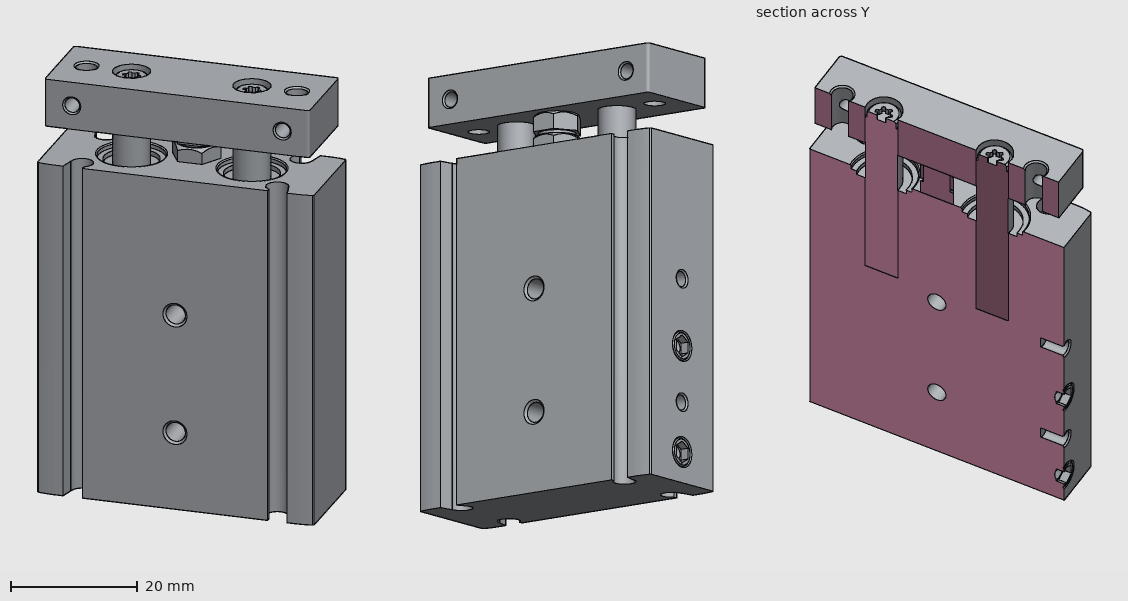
import cadquery as cq
import math

TOTAL_HEIGHT = 70.0

HOUSING_WIDTH = 46.0
HOUSING_DEPTH = 17.0
HOUSING_HEIGHT = 56.0
CROWN_START = 20.1
CROWN_DROP = 0.3
CORNER_CHAMFER = 0.2

SLOT_X = 16.25
SLOT_DIAMETER = 3.65
SLOT_CENTRE_Y = 6.15
MOUTH_INNER_X = 15.4
MOUTH_OUTER_X = 18.6
MOUTH_ROOT_X = 18.1

MOUNT_HOLE_HEIGHTS = (13.0, 33.0)
FRONT_HOLE_DIAMETER = 3.2
FRONT_HOLE_MOUTH = 4.0
SIDE_HOLE_DIAMETER = 2.45
SIDE_HOLE_MOUTH = 3.0
SIDE_HOLE_DEPTH = 4.2

PORT_HEIGHTS = (5.0, 22.1)
PORT_MOUTH = 5.0
PLUG_FACE_DIAMETER = 4.1
SOCKET_FLATS = 3.0
SOCKET_DEPTH = 1.4
SOCKET_DRILL_DIAMETER = 2.45
DRILL_TIP_ANGLE = 118.0

ROD_PITCH = 20.0
ROD_DIAMETER = 6.0
ROD_INSERTION = 21.0
ROD_TOP_RECESS = 0.7
ROD_HEAD_DIAMETER = 5.5
ROD_HEAD_HEIGHT = 1.4
ROD_TOP_CHAMFER = 0.35
GLAND_DIAMETER = 11.0
GLAND_CHAMFER = 0.2
GLAND_DEPTH = 0.85
SEAL_DIAMETER = 9.0
SEAL_DEPTH = 1.6

DRIVER_CORE_DIAMETER = 2.1
DRIVER_TIP_DIAMETER = 3.0
DRIVER_LOBE_DIAMETER = 0.6
DRIVER_DEPTH = 1.0
LOBES = 6

PLATE_WIDTH = 44.0
PLATE_DEPTH = 15.0
PLATE_THICKNESS = 8.0
PLATE_EDGE_RADIUS = 0.5
PLATE_HOLE_X = 17.5
PLATE_TOP_HOLE_DIAMETER = 3.4
PLATE_TOP_HOLE_MOUTH = 4.0
PLATE_FRONT_HOLE_DIAMETER = 2.45
PLATE_FRONT_HOLE_MOUTH = 3.0

STOPPER_Y = 2.5
STOPPER_SHANK_DIAMETER = 6.0
HEX_FLATS = 7.0
HEX_TOP_DIAMETER = 6.5
HEX_CHAMFER_ANGLE = 40.0
NUT_HEIGHT = 3.0
BOLT_HEAD_HEIGHT = 2.5

PLATE_BOTTOM = TOTAL_HEIGHT - PLATE_THICKNESS
PLATE_MIDDLE = TOTAL_HEIGHT - PLATE_THICKNESS / 2
ROD_XS = (-ROD_PITCH / 2, ROD_PITCH / 2)
HEX_CORNERS = HEX_FLATS / math.cos(math.radians(30))


def cone_height(large_diameter, small_diameter):
    """Height of a 45 degree cone between two diameters."""
    return (large_diameter - small_diameter) / 2


def hole(start, direction, diameter, depth, mouth):
    """Cutter for a flat-ended hole whose mouth is chamfered at 45 degrees."""
    start = cq.Vector(*start)
    direction = cq.Vector(*direction)
    bore = cq.Solid.makeCylinder(diameter / 2, depth, start, direction)
    chamfer = cq.Solid.makeCone(mouth / 2, diameter / 2, cone_height(mouth, diameter), start, direction)
    return cq.Workplane(bore.fuse(chamfer))


def through_hole_y(x, z, body_depth, diameter, mouth):
    """Cutter along Y through a body centred on Y = 0, chamfered at both ends."""
    front = hole((x, -body_depth / 2, z), (0, 1, 0), diameter, body_depth, mouth)
    back = hole((x, body_depth / 2, z), (0, -1, 0), diameter, body_depth, mouth)
    return front.union(back)


def housing_blank():
    half_width = HOUSING_WIDTH / 2
    half_depth = HOUSING_DEPTH / 2
    crown_end = half_depth - CROWN_DROP
    quarter = (
        cq.Workplane("XY")
        .lineTo(half_width, 0)
        .lineTo(half_width, crown_end - CORNER_CHAMFER)
        .lineTo(half_width - CORNER_CHAMFER, crown_end)
        .threePointArc(
            ((half_width - CORNER_CHAMFER + CROWN_START) / 2, half_depth - CROWN_DROP / 4),
            (CROWN_START, half_depth),
        )
        .lineTo(0, half_depth)
        .close()
        .extrude(HOUSING_HEIGHT)
    )
    half = quarter.union(quarter.mirror("YZ"))
    return half.union(half.mirror("XZ")).clean()


def sensor_slot():
    """Cutter for the slot in the +X, +Y quarter."""
    half_depth = HOUSING_DEPTH / 2
    channel = cq.Workplane("XY").center(SLOT_X, SLOT_CENTRE_Y).circle(SLOT_DIAMETER / 2)
    mouth = (
        cq.Workplane("XY")
        .moveTo(MOUTH_INNER_X, SLOT_CENTRE_Y)
        .lineTo(MOUTH_ROOT_X, SLOT_CENTRE_Y)
        .lineTo(MOUTH_OUTER_X, half_depth)
        .lineTo(MOUTH_INNER_X, half_depth)
        .close()
    )
    return channel.extrude(HOUSING_HEIGHT).union(mouth.extrude(HOUSING_HEIGHT))


def port_groove(z):
    """Cutter for the V groove around a plug face: a 45 degree ring on the -X side."""
    groove_depth = (PORT_MOUTH - PLUG_FACE_DIAMETER) / 4
    middle_radius = (PORT_MOUTH + PLUG_FACE_DIAMETER) / 4
    side = -HOUSING_WIDTH / 2
    section = (
        cq.Workplane("XY", origin=(side, 0, z))
        .moveTo(0, PLUG_FACE_DIAMETER / 2)
        .lineTo(groove_depth, middle_radius)
        .lineTo(0, PORT_MOUTH / 2)
        .close()
    )
    return section.revolve(360, (0, 0, 0), (1, 0, 0))


def port_socket(z):
    """Cutter for the hexagon socket in a plug face, with corners along Z and a drilled tip."""
    drill_radius = SOCKET_DRILL_DIAMETER / 2
    tip_length = drill_radius / math.tan(math.radians(DRILL_TIP_ANGLE / 2))
    side = -HOUSING_WIDTH / 2
    tip_start = cq.Vector(side + SOCKET_DEPTH, 0, z)
    tip = cq.Solid.makeCone(drill_radius, 0, tip_length, tip_start, cq.Vector(1, 0, 0))
    socket = (
        cq.Workplane("YZ", origin=(side, 0, z))
        .transformed(rotate=(0, 0, 90))
        .polygon(6, SOCKET_FLATS / math.cos(math.radians(30)))
        .extrude(SOCKET_DEPTH)
    )
    return socket.union(cq.Workplane(tip))


def rod_recess(x):
    """Cutter for the stepped gland around a rod and the bore that the rod fills."""
    top = cq.Workplane("XY", origin=(x, 0, HOUSING_HEIGHT))
    gland_radius = GLAND_DIAMETER / 2
    gland = (
        cq.Workplane("XZ", origin=(x, 0, HOUSING_HEIGHT))
        .lineTo(gland_radius + GLAND_CHAMFER, 0)
        .lineTo(gland_radius, -GLAND_CHAMFER)
        .lineTo(gland_radius, -GLAND_DEPTH)
        .lineTo(0, -GLAND_DEPTH)
        .close()
        .revolve(360, (0, 0, 0), (0, 1, 0))
    )
    seal = top.circle(SEAL_DIAMETER / 2).extrude(-SEAL_DEPTH)
    bore = top.circle(ROD_DIAMETER / 2).extrude(-ROD_INSERTION)
    return gland.union(seal).union(bore)


def make_housing():
    body = housing_blank()
    right_back = sensor_slot()
    right_front = right_back.mirror("XZ")
    for slot in (right_back, right_front):
        body = body.cut(slot).cut(slot.mirror("YZ"))
    for z in MOUNT_HOLE_HEIGHTS:
        body = body.cut(through_hole_y(0, z, HOUSING_DEPTH, FRONT_HOLE_DIAMETER, FRONT_HOLE_MOUTH))
        side_start = (-HOUSING_WIDTH / 2, 0, z)
        body = body.cut(hole(side_start, (1, 0, 0), SIDE_HOLE_DIAMETER, SIDE_HOLE_DEPTH, SIDE_HOLE_MOUTH))
    for z in PORT_HEIGHTS:
        body = body.cut(port_groove(z)).cut(port_socket(z))
    for x in ROD_XS:
        body = body.cut(rod_recess(x))
    return body


def make_plate():
    plate = (
        cq.Workplane("XY", origin=(0, 0, PLATE_BOTTOM))
        .rect(PLATE_WIDTH, PLATE_DEPTH)
        .extrude(PLATE_THICKNESS)
        .edges("|Z")
        .fillet(PLATE_EDGE_RADIUS)
    )
    for x in (-PLATE_HOLE_X, PLATE_HOLE_X):
        top_start = (x, 0, TOTAL_HEIGHT)
        plate = plate.cut(
            hole(top_start, (0, 0, -1), PLATE_TOP_HOLE_DIAMETER, PLATE_THICKNESS, PLATE_TOP_HOLE_MOUTH)
        )
        plate = plate.cut(
            through_hole_y(x, PLATE_MIDDLE, PLATE_DEPTH, PLATE_FRONT_HOLE_DIAMETER, PLATE_FRONT_HOLE_MOUTH)
        )
    for x in ROD_XS:
        rod_bore = cq.Workplane("XY", origin=(x, 0, PLATE_BOTTOM)).circle(ROD_DIAMETER / 2)
        plate = plate.cut(rod_bore.extrude(PLATE_THICKNESS))
    return plate


def make_rod(x):
    bottom = HOUSING_HEIGHT - ROD_INSERTION
    top = TOTAL_HEIGHT - ROD_TOP_RECESS
    rod = (
        cq.Workplane("XY", origin=(x, 0, bottom))
        .circle(ROD_DIAMETER / 2)
        .extrude(top - ROD_HEAD_HEIGHT - bottom)
        .faces(">Z")
        .workplane()
        .circle(ROD_HEAD_DIAMETER / 2)
        .extrude(ROD_HEAD_HEIGHT)
        .faces(">Z")
        .chamfer(ROD_TOP_CHAMFER)
    )
    floor = cq.Workplane("XY", origin=(x, 0, top - DRIVER_DEPTH))
    lobe_radius = (DRIVER_TIP_DIAMETER - DRIVER_LOBE_DIAMETER) / 2
    core = floor.circle(DRIVER_CORE_DIAMETER / 2).extrude(DRIVER_DEPTH)
    lobe_centres = floor.polarArray(lobe_radius, 0, 360, LOBES)
    lobes = lobe_centres.circle(DRIVER_LOBE_DIAMETER / 2).extrude(DRIVER_DEPTH)
    return rod.cut(core).cut(lobes)


def chamfered_hexagon(bottom, height):
    """Hexagon with corners along X and a conical chamfer on its top side."""
    run = (HEX_CORNERS - HEX_TOP_DIAMETER) / 2
    rise = run * math.tan(math.radians(HEX_CHAMFER_ANGLE))
    base = cq.Workplane("XY", origin=(0, STOPPER_Y, bottom))
    hexagon = base.polygon(6, HEX_CORNERS).extrude(height)
    profile = (
        cq.Workplane("XZ", origin=(0, STOPPER_Y, bottom))
        .lineTo(HEX_CORNERS / 2, 0)
        .lineTo(HEX_CORNERS / 2, height - rise)
        .lineTo(HEX_TOP_DIAMETER / 2, height)
        .lineTo(0, height)
        .close()
    )
    envelope = profile.revolve(360, (0, 0, 0), (0, 1, 0))
    return hexagon.intersect(envelope)


def stopper_shank():
    """Shank from the top of the bolt head up to the plate."""
    bottom = HOUSING_HEIGHT + BOLT_HEAD_HEIGHT
    base = cq.Workplane("XY", origin=(0, STOPPER_Y, bottom))
    return base.circle(STOPPER_SHANK_DIAMETER / 2).extrude(PLATE_BOTTOM - bottom)


def make_stopper_bolt():
    return chamfered_hexagon(HOUSING_HEIGHT, BOLT_HEAD_HEIGHT).union(stopper_shank())


def make_nut():
    return chamfered_hexagon(PLATE_BOTTOM - NUT_HEIGHT, NUT_HEIGHT).cut(stopper_shank())


housing = make_housing()
plate = make_plate()
rods = [make_rod(x) for x in ROD_XS]
stopper_bolt = make_stopper_bolt()
nut = make_nut()

result = cq.Compound.makeCompound(
    [housing.val(), plate.val(), *[rod.val() for rod in rods], stopper_bolt.val(), nut.val()]
)